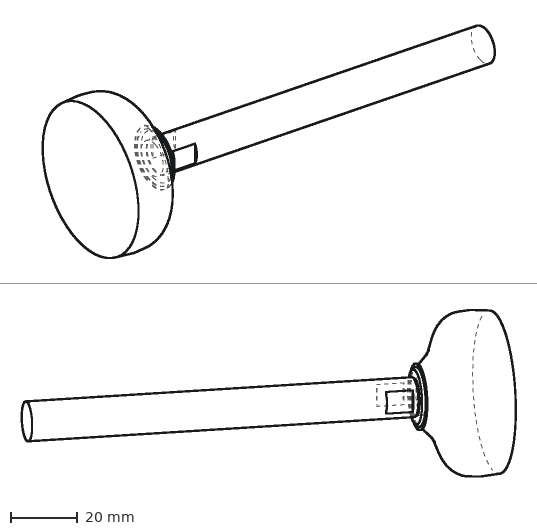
import cadquery as cq

total_length = 145.0
sole_y = -total_length / 2

spindle_diameter = 12.0
across_flats = 10.0
flat_start = 26.7
flat_length = 8.3
seat_radius = 5.7
taper_height = 25.2

foot_diameter = 50.0
sole_radius = 24.5
widest_height = 6.1
side_radius = 24.8
side_height = 9.0
shoulder_radius = 19.9
shoulder_height = 15.7
shoulder_mid_radius = 23.5
shoulder_mid_height = 12.9
slope_radius = 14.8
slope_height = 18.0
cone_base_radius = 13.0
cone_base_height = 19.3
neck_radius = 9.4
neck_height = cone_base_height + cone_base_radius - neck_radius

lip_radius = 10.0
lip_height = 23.5
lip_thickness = 0.3
collar_base_radius = 9.0
collar_top_radius = 8.3
foot_height = 24.6
socket_floor_height = 22.8


def make_spindle():
    """Round rod seated in the foot, with two opposite wrench flats facing -X and +X."""
    rod_radius = spindle_diameter / 2
    profile = (
        cq.Workplane("XY", origin=(0, sole_y, 0))
        .moveTo(0, socket_floor_height)
        .lineTo(seat_radius, socket_floor_height)
        .lineTo(seat_radius, foot_height)
        .lineTo(rod_radius, taper_height)
        .lineTo(rod_radius, total_length)
        .lineTo(0, total_length)
        .close()
    )
    rod = profile.revolve(360, (0, 0, 0), (0, 1, 0))
    flat_depth = (spindle_diameter - across_flats) / 2
    for side in (-1, 1):
        notch = cq.Workplane("XY").box(flat_depth, flat_length, spindle_diameter)
        notch_x = side * (across_flats + flat_depth) / 2
        notch_y = sole_y + flat_start + flat_length / 2
        rod = rod.cut(notch.translate((notch_x, notch_y, 0)))
    return rod


def make_foot():
    """Revolved bell-shaped foot with a thin lip, a collar and a blind socket for the spindle."""
    lip_top_height = lip_height + lip_thickness
    profile = (
        cq.Workplane("XY", origin=(0, sole_y, 0))
        .moveTo(0, 0)
        .lineTo(sole_radius, 0)
        .lineTo(foot_diameter / 2, widest_height)
        .lineTo(side_radius, side_height)
        .threePointArc((shoulder_mid_radius, shoulder_mid_height), (shoulder_radius, shoulder_height))
        .lineTo(slope_radius, slope_height)
        .lineTo(cone_base_radius, cone_base_height)
        .lineTo(neck_radius, neck_height)
        .lineTo(collar_base_radius, lip_height)
        .lineTo(lip_radius, lip_height)
        .lineTo(lip_radius, lip_top_height)
        .lineTo(collar_base_radius, lip_top_height)
        .lineTo(collar_top_radius, foot_height)
        .lineTo(seat_radius, foot_height)
        .lineTo(seat_radius, socket_floor_height)
        .lineTo(0, socket_floor_height)
        .close()
    )
    return profile.revolve(360, (0, 0, 0), (0, 1, 0))


spindle = make_spindle()
foot = make_foot()

result = cq.Compound.makeCompound([spindle.val(), foot.val()])